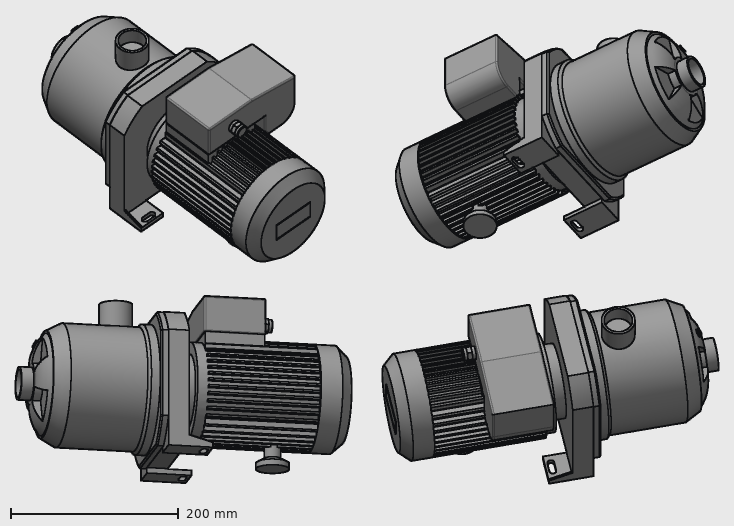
import cadquery as cq
import math


port_diameter = 40.0
port_bore = 33.5
suction_bore_depth = 14.5
hub_face_x = 14.5
hub_radius = 25.0
dome_radius = 51.0
shoulder_x = 30.0
shoulder_radius = 64.5
cone_end_x = 49.0
barrel_diameter = 149.0
flare_start_x = 142.5
rim_x = 146.0
rim_diameter = 156.5
discharge_x = 118.2
discharge_top = 103.2
discharge_floor = 83.0

recess_count = 4
recess_floor_x = 25.0
recess_outer_radius = 56.0
recess_angle = 45.0

plug_diameter = 10.0
plug_radius_from_axis = 49.0
plug_height = 2.0
plug_depth = 4.0

plate_front_x = 156.5
plate_back_x = 165.5
plate_half_size = 82.5
plate_edge_chamfer = 2.0
plate_corner_radius = 98.0
bracket_back_x = 191.0
bracket_half_size = 83.0
bracket_corner_radius = 99.0
base_z = -89.5
arch_z = -82.5
foot_end_x = 220.0
foot_width = 36.5
foot_thickness = 6.5
web_height = 14.2
web_thickness = 2.5
foot_slot_x = 212.5
foot_slot_width = 8.5
foot_slot_inner_y = 53.8
foot_slot_outer_y = 73.5

neck_diameter = 91.0
flange_x = 206.0
core_diameter = 120.0
fin_start_x = 218.5
fin_end_x = 355.0
fin_tip_diameter = 130.0
fin_pitch = 8.2
fin_thickness = 2.5
fins_each_side = 5
pedestal_end_x = 291.5
pedestal_far_y = 36.5

fan_taper_x = 381.0
fan_end_x = 394.5
fan_end_diameter = 105.5
overall_length = 395.5
nameplate_width = 56.0
nameplate_height = 24.5

box_front_x = 217.5
box_back_x = 292.5
box_bottom = 65.2
box_top = 109.5
box_near_y = -40.7
box_far_y = 102.0
box_ridge_y = 30.0
box_eave_z = 99.2
skirt_bottom = 31.0
skirt_inner_y = 51.5
skirt_corner_radius = 23.5
box_edge_round = 2.0

gland_z = 87.0
gland_diameter = 16.0
gland_nut_x = 297.0
gland_cap_x = 303.0
gland_end_x = 307.5
gland_cap_chamfer = 0.8

support_x = 309.0
support_stem_diameter = 20.0
support_pad_diameter = 40.0
support_cone_top = -76.7
support_pad_top = -82.2
support_stem_top = -core_diameter / 2


def disc(diameter, start_x, end_x):
    """Cylinder on the shaft axis between two stations."""
    return cq.Workplane("YZ", origin=(start_x, 0, 0)).circle(diameter / 2).extrude(end_x - start_x)


def upright(diameter, x, bottom_z, top_z):
    """Vertical cylinder in the middle plane Y = 0."""
    return cq.Workplane("XY", origin=(x, 0, bottom_z)).circle(diameter / 2).extrude(top_z - bottom_z)


def block(x_range, y_range, z_range):
    """Box given by its limits along each axis."""
    limits = (x_range, y_range, z_range)
    size = [high - low for low, high in limits]
    corner = [low for low, high in limits]
    return cq.Workplane("XY", origin=corner).box(*size, centered=False)


def dome_x(radius):
    """Station of the dome surface at a given distance from the shaft axis."""
    return hub_face_x + dome_radius - math.sqrt(dome_radius**2 - (radius - hub_radius) ** 2)


def dome_edge_radius():
    """Radius at which the dome meets the shoulder."""
    return hub_radius + math.sqrt(dome_radius**2 - (hub_face_x + dome_radius - shoulder_x) ** 2)


def dome_recess(mid_angle):
    """Wedge that is cut from the dome between two spokes."""
    depth = recess_floor_x - hub_face_x
    far = 2 * recess_outer_radius
    start = math.radians(mid_angle - recess_angle / 2)
    end = math.radians(mid_angle + recess_angle / 2)
    plane = cq.Workplane("YZ", origin=(hub_face_x, 0, 0))
    ring = plane.circle(recess_outer_radius).circle(hub_radius).extrude(depth)
    wedge = (
        plane.moveTo(0, 0)
        .lineTo(far * math.cos(start), far * math.sin(start))
        .lineTo(far * math.cos(end), far * math.sin(end))
        .close()
        .extrude(depth)
    )
    return ring.intersect(wedge)


def make_plug():
    tilt = math.asin((plug_radius_from_axis - hub_radius) / dome_radius)
    outward = cq.Vector(-math.cos(tilt), 0, math.sin(tilt))
    seat = cq.Vector(dome_x(plug_radius_from_axis), 0, plug_radius_from_axis)
    plane = cq.Plane(origin=seat - outward * plug_depth, xDir=(0, 1, 0), normal=outward)
    return cq.Workplane(plane).circle(plug_diameter / 2).extrude(plug_depth + plug_height)


def make_casing(plug):
    dome_middle = (hub_radius + dome_edge_radius()) / 2
    shell = (
        cq.Workplane("XY")
        .moveTo(hub_face_x, 0)
        .lineTo(hub_face_x, hub_radius)
        .threePointArc((dome_x(dome_middle), dome_middle), (shoulder_x, dome_edge_radius()))
        .lineTo(shoulder_x, shoulder_radius)
        .lineTo(cone_end_x, barrel_diameter / 2)
        .lineTo(flare_start_x, barrel_diameter / 2)
        .lineTo(rim_x, rim_diameter / 2)
        .lineTo(plate_front_x, rim_diameter / 2)
        .lineTo(plate_front_x, 0)
        .close()
        .revolve(360, (0, 0, 0), (1, 0, 0))
    )
    for index in range(recess_count):
        mid_angle = 360 / recess_count * (index + 0.5)
        shell = shell.cut(dome_recess(mid_angle))
    suction = disc(port_diameter, 0, recess_floor_x)
    discharge = upright(port_diameter, discharge_x, 0, discharge_top)
    casing = shell.union(suction).union(discharge)
    casing = casing.cut(disc(port_bore, 0, suction_bore_depth))
    casing = casing.cut(upright(port_bore, discharge_x, discharge_floor, discharge_top))
    return casing.cut(plug)


def make_cover_plate():
    size = 2 * plate_half_size
    plate = (
        cq.Workplane("YZ", origin=(plate_front_x, 0, 0))
        .rect(size, size)
        .extrude(plate_back_x - plate_front_x)
        .intersect(disc(2 * plate_corner_radius, plate_front_x, plate_back_x))
    )
    return plate.faces("<X").edges().chamfer(plate_edge_chamfer)


def bracket_foot(side):
    """Foot on one side (+1 or -1 along Y), with its sloping outer web and bolt slot."""
    outer_y = side * bracket_half_size
    inner_y = side * (bracket_half_size - foot_width)
    web_inner_y = side * (bracket_half_size - web_thickness)
    foot_top = base_z + foot_thickness
    sole = block((plate_back_x, foot_end_x), sorted((inner_y, outer_y)), (base_z, foot_top))
    slot_length = foot_slot_outer_y - foot_slot_inner_y
    slot_y = side * (foot_slot_inner_y + foot_slot_outer_y) / 2
    slot = (
        cq.Workplane("XY", origin=(foot_slot_x, slot_y, base_z))
        .slot2D(slot_length, foot_slot_width, 90)
        .extrude(foot_thickness)
    )
    web = (
        cq.Workplane("XZ", origin=(0, max(outer_y, web_inner_y), 0))
        .moveTo(bracket_back_x, foot_top)
        .lineTo(foot_end_x, foot_top)
        .lineTo(bracket_back_x, base_z + web_height)
        .close()
        .extrude(web_thickness)
    )
    return sole.cut(slot).union(web)


def make_bracket():
    half = bracket_half_size
    wall = block((plate_back_x, bracket_back_x), (-half, half), (base_z, half))
    upper_round = disc(2 * bracket_corner_radius, plate_back_x, bracket_back_x)
    lower_part = block((plate_back_x, bracket_back_x), (-half, half), (base_z, 0))
    wall = wall.intersect(upper_round.union(lower_part))
    arch_half_width = half - foot_width
    arch = block((plate_back_x, bracket_back_x), (-arch_half_width, arch_half_width), (base_z, arch_z))
    bracket = wall.cut(arch)
    for side in (-1, 1):
        bracket = bracket.union(bracket_foot(side))
    return bracket


def make_support():
    stem_radius = support_stem_diameter / 2
    pad_radius = support_pad_diameter / 2
    return (
        cq.Workplane("XZ", origin=(support_x, 0, 0))
        .moveTo(0, base_z)
        .lineTo(pad_radius, base_z)
        .lineTo(pad_radius, support_pad_top)
        .lineTo(stem_radius, support_cone_top)
        .lineTo(stem_radius, support_stem_top)
        .lineTo(0, support_stem_top)
        .close()
        .revolve(360, (0, 0, 0), (0, 1, 0))
    )


def make_fins():
    """Parallel cooling fins, level on the two sides and upright above and below."""
    reach = fin_tip_diameter / 2
    span = (fin_start_x, fin_end_x)
    fins = cq.Workplane("XY")
    for index in range(-fins_each_side, fins_each_side + 1):
        middle = index * fin_pitch
        thickness = (middle - fin_thickness / 2, middle + fin_thickness / 2)
        fins = fins.add(block(span, (-reach, reach), thickness))
        fins = fins.add(block(span, thickness, (-reach, reach)))
    return fins.combine().intersect(disc(fin_tip_diameter, fin_start_x, fin_end_x))


def make_motor(support):
    motor = disc(core_diameter, flange_x, fin_end_x)
    motor = motor.union(disc(neck_diameter, bracket_back_x, flange_x))
    motor = motor.union(make_fins())
    pedestal = block(
        (fin_start_x, pedestal_end_x),
        (box_near_y, pedestal_far_y),
        (0, box_bottom),
    )
    return motor.union(pedestal).cut(support)


def make_fan_cover():
    radius = fin_tip_diameter / 2
    end_radius = fan_end_diameter / 2
    return (
        cq.Workplane("XY")
        .moveTo(fin_end_x, 0)
        .lineTo(fin_end_x, radius)
        .lineTo(fan_taper_x, radius)
        .lineTo(fan_end_x, end_radius)
        .lineTo(fan_end_x, 0)
        .close()
        .revolve(360, (0, 0, 0), (1, 0, 0))
    )


def make_nameplate():
    half_width = nameplate_width / 2
    half_height = nameplate_height / 2
    return block(
        (fan_end_x, overall_length),
        (-half_width, half_width),
        (-half_height, half_height),
    )


def make_terminal_box():
    bend_y = box_far_y - skirt_corner_radius
    bend_z = skirt_bottom + skirt_corner_radius
    diagonal = skirt_corner_radius * math.sqrt(0.5)
    box = (
        cq.Workplane("YZ", origin=(box_front_x, 0, 0))
        .moveTo(box_near_y, box_bottom)
        .lineTo(box_near_y, box_top)
        .lineTo(box_ridge_y, box_top)
        .lineTo(box_far_y, box_eave_z)
        .lineTo(box_far_y, bend_z)
        .threePointArc((bend_y + diagonal, bend_z - diagonal), (bend_y, skirt_bottom))
        .lineTo(skirt_inner_y, skirt_bottom)
        .lineTo(skirt_inner_y, box_bottom)
        .close()
        .extrude(box_back_x - box_front_x)
    )
    box = box.cut(disc(fin_tip_diameter, box_front_x, box_back_x))
    near_edges = box.edges("|X and <Y").vals()
    return box.faces("<X or >X").edges().add(near_edges).fillet(box_edge_round)


def make_gland():
    """Cable gland: round collar, hexagon nut with level flats, round cap."""
    nut_width_over_corners = gland_diameter / math.cos(math.radians(30))
    collar = disc(gland_diameter, box_back_x, gland_nut_x)
    nut = (
        cq.Workplane("YZ", origin=(gland_nut_x, 0, 0))
        .polygon(6, nut_width_over_corners)
        .extrude(gland_cap_x - gland_nut_x)
    )
    cap = disc(gland_diameter, gland_cap_x, gland_end_x).faces(">X").chamfer(gland_cap_chamfer)
    return collar.union(nut).union(cap).translate((0, 0, gland_z))


plug = make_plug()
casing = make_casing(plug)
cover_plate = make_cover_plate()
bracket = make_bracket()
support = make_support()
motor = make_motor(support)
fan_cover = make_fan_cover()
nameplate = make_nameplate()
terminal_box = make_terminal_box()
gland = make_gland()

result = cq.Compound.makeCompound([
    casing.val(),
    plug.val(),
    cover_plate.val(),
    bracket.val(),
    motor.val(),
    support.val(),
    fan_cover.val(),
    nameplate.val(),
    terminal_box.val(),
    gland.val(),
])